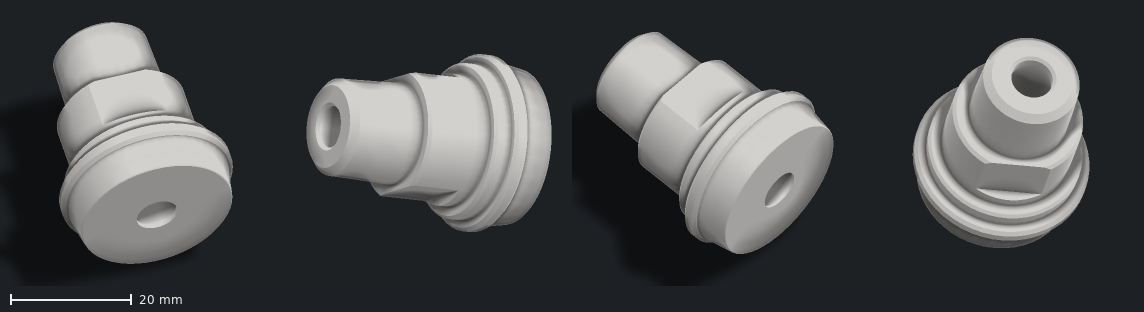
import cadquery as cq
import math

length = 35.5

nose_face_radius = 6.9
nose_start_radius = 8.13
nose_chamfer_length = 1.2
nose_half_taper = 1 / 32
shoulder_x = 13.0

body_radius = 22.0 / 2
body_chamfer = 0.55
flat_half_spacing = 9.5
flat_end_x = 22.05
flat_end_slant = 0.35

collar_x = 24.53
collar_radius = 26.0 / 2
collar_chamfer = 0.45
ring_x = 27.48
ring_end_x = 30.05
ring_radius = 29.5 / 2
ring_chamfer = 0.57

cone_start_radius = 13.88
cone_end_radius = 13.0
tail_edge_chamfer = 0.15

corner_fillet = 0.35
ring_rear_fillet = 0.25

bore_diameter = 7.0
bore_chamfer = 0.5


def shoulder_arc(profile, shoulder, foot_radius, fillet):
    """Continue the outline through a concave quarter round up to a shoulder face."""
    middle_x = shoulder - fillet * (1 - math.sin(math.pi / 4))
    middle_radius = foot_radius + fillet * (1 - math.cos(math.pi / 4))
    return profile.lineTo(shoulder - fillet, foot_radius).threePointArc(
        (middle_x, middle_radius), (shoulder, foot_radius + fillet)
    )


def make_turned_body():
    nose_taper_length = shoulder_x - corner_fillet - nose_chamfer_length
    nose_end_radius = nose_start_radius + nose_taper_length * nose_half_taper
    cone_x = ring_end_x + ring_rear_fillet
    profile = cq.Workplane("XY").lineTo(0, nose_face_radius)
    profile = profile.lineTo(nose_chamfer_length, nose_start_radius)

    profile = shoulder_arc(profile, shoulder_x, nose_end_radius, corner_fillet)
    profile = profile.lineTo(shoulder_x, body_radius - body_chamfer)
    profile = profile.lineTo(shoulder_x + body_chamfer, body_radius)

    profile = shoulder_arc(profile, collar_x, body_radius, corner_fillet)
    profile = profile.lineTo(collar_x, collar_radius - collar_chamfer)
    profile = profile.lineTo(collar_x + collar_chamfer, collar_radius)

    profile = shoulder_arc(profile, ring_x, collar_radius, corner_fillet)
    profile = profile.lineTo(ring_x, ring_radius - ring_chamfer)
    profile = profile.lineTo(ring_x + ring_chamfer, ring_radius)
    profile = profile.lineTo(ring_end_x - ring_chamfer, ring_radius)
    profile = profile.lineTo(ring_end_x, ring_radius - ring_chamfer)

    arc_offset = ring_rear_fillet * (1 - math.cos(math.pi / 4))
    profile = profile.lineTo(ring_end_x, cone_start_radius + ring_rear_fillet)
    profile = profile.threePointArc(
        (ring_end_x + arc_offset, cone_start_radius + arc_offset),
        (cone_x, cone_start_radius),
    )
    profile = profile.lineTo(length - tail_edge_chamfer, cone_end_radius)
    profile = profile.lineTo(length, cone_end_radius - tail_edge_chamfer)
    profile = profile.lineTo(length, 0).close()
    return profile.revolve(360, (0, 0, 0), (1, 0, 0))


def make_flat_cutter():
    """Material above the upper flat, with a sloped wall at its collar end."""
    slant_per_height = flat_end_slant / (body_radius - flat_half_spacing)
    cutter_top = ring_radius
    cutter_end_x = flat_end_x + (cutter_top - flat_half_spacing) * slant_per_height
    outline = [
        (shoulder_x, flat_half_spacing),
        (flat_end_x, flat_half_spacing),
        (cutter_end_x, cutter_top),
        (shoulder_x, cutter_top),
    ]
    return cq.Workplane("XZ").polyline(outline).close().extrude(ring_radius, both=True)


def make_bore():
    bore_radius = bore_diameter / 2
    outline = [
        (0, 0),
        (0, bore_radius + bore_chamfer),
        (bore_chamfer, bore_radius),
        (length, bore_radius),
        (length, 0),
    ]
    profile = cq.Workplane("XY").polyline(outline).close()
    return profile.revolve(360, (0, 0, 0), (1, 0, 0))


upper_flat = make_flat_cutter()
lower_flat = upper_flat.mirror("XY")
result = make_turned_body().cut(upper_flat).cut(lower_flat).cut(make_bore())